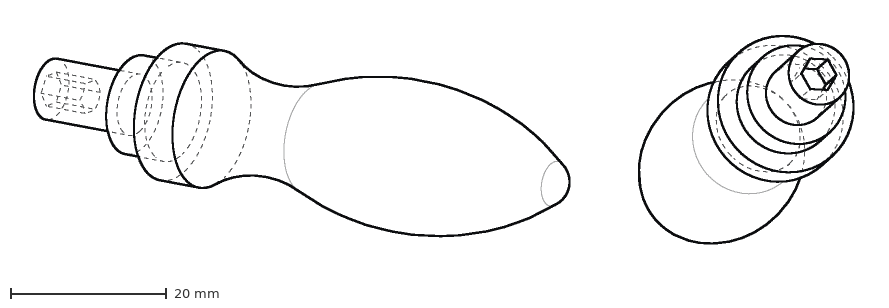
import cadquery as cq
import math

length = 80.0
spigot_radius = 4.0
spigot_length = 13.0
collar_radius = 6.5
collar_length = 6.0
flange_radius = 9.0
flange_length = 6.0

neck_radius = 6.0
neck_arc_radius = 17.6
bulge_radius = 9.9
bulge_arc_radius = 40.0
cap_length = 1.8

socket_across_flats = 4.0
socket_depth = 6.0
socket_cone_angle = 120.0

collar_x = spigot_length
flange_x = collar_x + collar_length
grip_x = flange_x + flange_length
cap_x = length - cap_length

neck_center_r = neck_radius + neck_arc_radius
bulge_center_r = bulge_radius - bulge_arc_radius
center_distance = neck_arc_radius + bulge_arc_radius
neck_x = grip_x + math.sqrt(neck_arc_radius**2 - (neck_center_r - flange_radius)**2)
bulge_x = neck_x + math.sqrt(center_distance**2 - (neck_center_r - bulge_center_r)**2)

neck_share = neck_arc_radius / center_distance
tangent_x = neck_x + neck_share * (bulge_x - neck_x)
tangent_r = neck_center_r + neck_share * (bulge_center_r - neck_center_r)


def bulge_profile(x):
    """Grip radius on the convex arc."""
    return bulge_center_r + math.sqrt(bulge_arc_radius**2 - (x - bulge_x)**2)


def make_handle():
    """Stepped shank, grip and spherical end cap as one revolved body."""
    cap_base_radius = bulge_profile(cap_x)
    cap_sphere_radius = (cap_base_radius**2 + cap_length**2) / (2 * cap_length)
    cap_center_x = length - cap_sphere_radius
    cap_mid_x = cap_x + cap_length / 2
    cap_mid_r = math.sqrt(cap_sphere_radius**2 - (cap_mid_x - cap_center_x)**2)
    return (
        cq.Workplane("XY")
        .moveTo(0, 0)
        .lineTo(0, spigot_radius)
        .lineTo(collar_x, spigot_radius)
        .lineTo(collar_x, collar_radius)
        .lineTo(flange_x, collar_radius)
        .lineTo(flange_x, flange_radius)
        .lineTo(grip_x, flange_radius)
        .threePointArc((neck_x, neck_radius), (tangent_x, tangent_r))
        .threePointArc((bulge_x, bulge_radius), (cap_x, cap_base_radius))
        .threePointArc((cap_mid_x, cap_mid_r), (length, 0))
        .close()
        .revolve(360, (0, 0, 0), (1, 0, 0))
    )


def make_socket():
    """Hexagonal prism, corners pointing along Y, ending in a cone."""
    across_corners = socket_across_flats / math.cos(math.pi / 6)
    cone_radius = across_corners / 2
    cone_depth = cone_radius / math.tan(math.radians(socket_cone_angle / 2))
    prism = cq.Workplane("YZ").polygon(6, across_corners).extrude(socket_depth + cone_depth)
    drill = (
        cq.Workplane("XY")
        .moveTo(0, 0)
        .lineTo(0, across_corners)
        .lineTo(socket_depth, across_corners)
        .lineTo(socket_depth, cone_radius)
        .lineTo(socket_depth + cone_depth, 0)
        .close()
        .revolve(360, (0, 0, 0), (1, 0, 0))
    )
    return prism.intersect(drill)


result = make_handle().cut(make_socket())